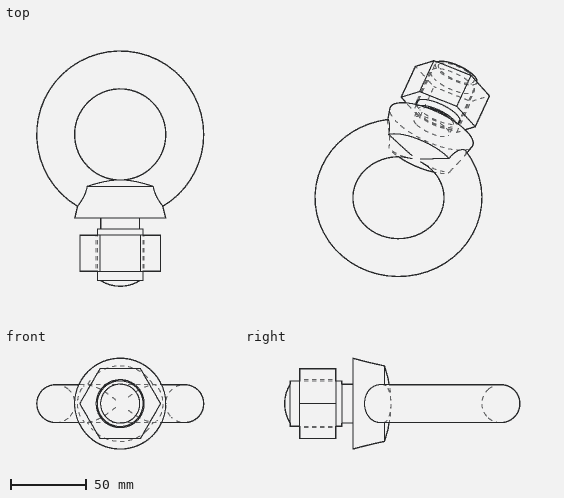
import cadquery as cq
import math

ring_outer_radius = 55.0
wire_radius = 12.5
ring_centre_radius = ring_outer_radius - wire_radius
ring_inner_radius = ring_centre_radius - wire_radius

collar_base_diameter = 60.0
collar_base_radius = collar_base_diameter / 2
collar_top_radius = 25.0
collar_base_y = -ring_outer_radius
collar_top_y = -34.1
collar_crown_y = -ring_inner_radius

neck_radius = 12.9
neck_length = 7.1
thread_radius = 15.0
thread_length = 34.1
thread_start_y = collar_base_y - neck_length
thread_end_y = thread_start_y - thread_length
tip_y = -100.0

nut_sides = 6
nut_across_flats = 46.0
nut_height = 23.9
nut_top_y = -66.2
nut_hole_radius = 15.8


def dome_point(edge_radius, edge_y, crown_y):
    """Point halfway round a spherical cap, between its edge and its crown."""
    rise = crown_y - edge_y
    sphere_radius = (edge_radius**2 + rise**2) / (2 * abs(rise))
    half_angle = math.asin(edge_radius / sphere_radius) / 2
    drop = sphere_radius * (1 - math.cos(half_angle))
    return sphere_radius * math.sin(half_angle), crown_y - math.copysign(drop, rise)


def make_ring():
    return (
        cq.Workplane("XZ")
        .center(ring_centre_radius, 0)
        .circle(wire_radius)
        .revolve(360, (-ring_centre_radius, 0), (-ring_centre_radius, 1))
    )


def make_collar_and_shank():
    """Collar, neck, thread and domed tip, turned about the Y axis."""
    return (
        cq.Workplane("XY")
        .moveTo(0, collar_crown_y)
        .threePointArc(
            dome_point(collar_top_radius, collar_top_y, collar_crown_y),
            (collar_top_radius, collar_top_y),
        )
        .lineTo(collar_base_radius, collar_base_y)
        .lineTo(neck_radius, collar_base_y)
        .lineTo(neck_radius, thread_start_y)
        .lineTo(thread_radius, thread_start_y)
        .lineTo(thread_radius, thread_end_y)
        .lineTo(neck_radius, thread_end_y)
        .threePointArc(dome_point(neck_radius, thread_end_y, tip_y), (0, tip_y))
        .close()
        .revolve(360, (0, 0), (0, 1))
    )


def make_eye_bolt():
    return make_ring().union(make_collar_and_shank())


def make_nut():
    """Nut with two corners on the X axis, extruded towards -Y."""
    across_corners = nut_across_flats / math.cos(math.pi / nut_sides)
    return (
        cq.Workplane("XZ", origin=(0, nut_top_y, 0))
        .polygon(nut_sides, across_corners)
        .circle(nut_hole_radius)
        .extrude(nut_height)
    )


eye_bolt = make_eye_bolt()
nut = make_nut()

result = cq.Compound.makeCompound([eye_bolt.solids().val(), nut.val()])